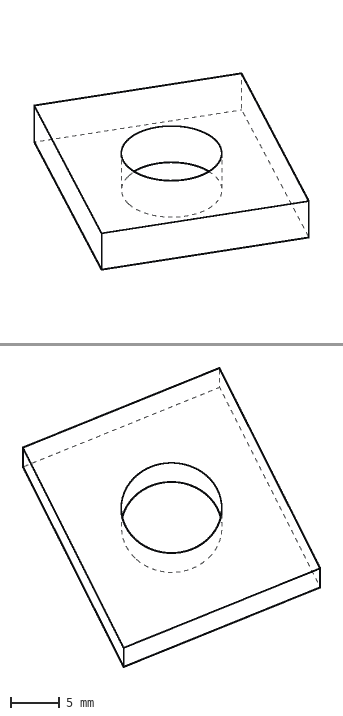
import cadquery as cq

length = 25.4
width = 22.35
thickness = 4.5
hole_diameter = 10.41

plate = cq.Workplane("XY").box(length, width, thickness)

result = plate.faces(">Z").workplane().hole(hole_diameter)